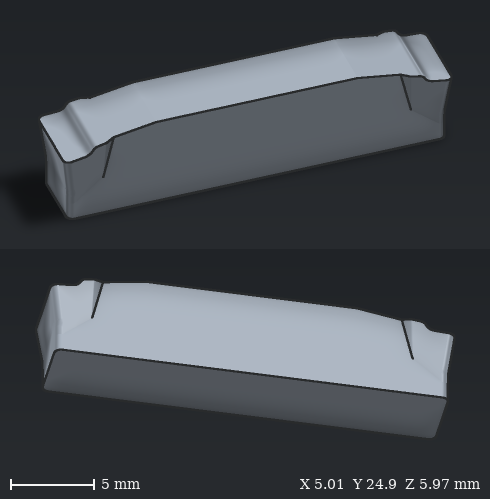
import cadquery as cq
import math

length = 24.87
height = 5.97
body_width = 4.23
half_length = length / 2
half_body = body_width / 2

tip_height = 4.6
relief_angle = math.radians(7.4)
relief_bottom = 2.26
upright_top = 1.75
corner_radius = 0.42

relief_inset = (tip_height - relief_bottom) * math.tan(relief_angle)
blend_inset = (relief_bottom - upright_top) * math.tan(relief_angle / 2)
end_wall_y = relief_inset + blend_inset - half_length

rake_end_inset = 1.3
rake_end_height = 4.75
step_inset = 1.82
step_height = 5.1
crest_inset = 2.2
crest_height = 5.35
shoulder_inset = 6.0

flank_slope = math.tan(math.radians(5.9))
flank_front_inset = 0.75
flank_front_height = 1.15
flank_rear_inset = 2.59
flank_rear_height = 2.65

transition_slope = 0.52
transition_top_inset = 3.25
transition_top_height = 5.52
transition_radius = 0.25

big = 2 * length

edge_reach_x = 0.45
end_reach_y = 0.25
transition_reach_y = 0.07


def bar_block(x_start, x_end):
    """Side outline of the -Y half of the bar, extruded across X between two positions."""
    return (
        cq.Workplane("YZ", origin=(x_start, 0, 0))
        .moveTo(0, 0)
        .lineTo(end_wall_y, 0)
        .lineTo(end_wall_y, upright_top)
        .tangentArcPoint((relief_inset - half_length, relief_bottom), relative=False)
        .lineTo(-half_length, tip_height)
        .lineTo(rake_end_inset - half_length, rake_end_height)
        .tangentArcPoint((step_inset - half_length, step_height), relative=False)
        .tangentArcPoint((crest_inset - half_length, crest_height), relative=False)
        .lineTo(shoulder_inset - half_length, height)
        .lineTo(0, height)
        .close()
        .extrude(x_end - x_start)
    )


def inside_plane(inset, level, normal):
    """Block behind a plane that meets the body side at the given point."""
    plane = cq.Plane(origin=(half_body, inset - half_length, level), normal=normal)
    return cq.Workplane(plane).rect(big, big).extrude(-big)


def edges_near(x_center, y_center, y_reach):
    """Select edges centred close to a point seen from above, at any height."""
    low = (x_center - edge_reach_x, y_center - y_reach, 0.02)
    high = (x_center + edge_reach_x, y_center + y_reach, height)
    return cq.selectors.BoxSelector(low, high)


def head_flank():
    """One side of one head, at +X and the -Y end."""
    flank_rise = (flank_rear_height - flank_front_height) / (flank_rear_inset - flank_front_inset)
    run_length = transition_top_inset - flank_rear_inset
    transition_run = run_length / (transition_top_height - flank_rear_height)
    flank_normal = (1, flank_slope * flank_rise, -flank_slope)
    transition_normal = (1, transition_slope, -transition_slope * transition_run)
    flank = (
        bar_block(0, body_width)
        .intersect(inside_plane(flank_rear_inset, flank_rear_height, flank_normal))
        .intersect(inside_plane(flank_rear_inset, flank_rear_height, transition_normal))
    )
    transition_edge = edges_near(half_body, flank_rear_inset - half_length, transition_reach_y)
    flank = flank.edges(transition_edge).fillet(transition_radius)
    return flank.edges(edges_near(half_body, end_wall_y, end_reach_y)).fillet(corner_radius)


def body():
    """Straight bar with rounded upright corners under the heads."""
    half_bar = bar_block(-half_body, half_body)
    for side in (-1, 1):
        half_bar = half_bar.edges(edges_near(side * half_body, end_wall_y, end_reach_y)).fillet(corner_radius)
    return half_bar.union(half_bar.mirror("XZ"))


def head_flanks():
    """Flanks on both sides of both ends."""
    one_side = head_flank()
    one_end = one_side.union(one_side.mirror("YZ"))
    return one_end.union(one_end.mirror("XZ"))


result = body().union(head_flanks()).clean()